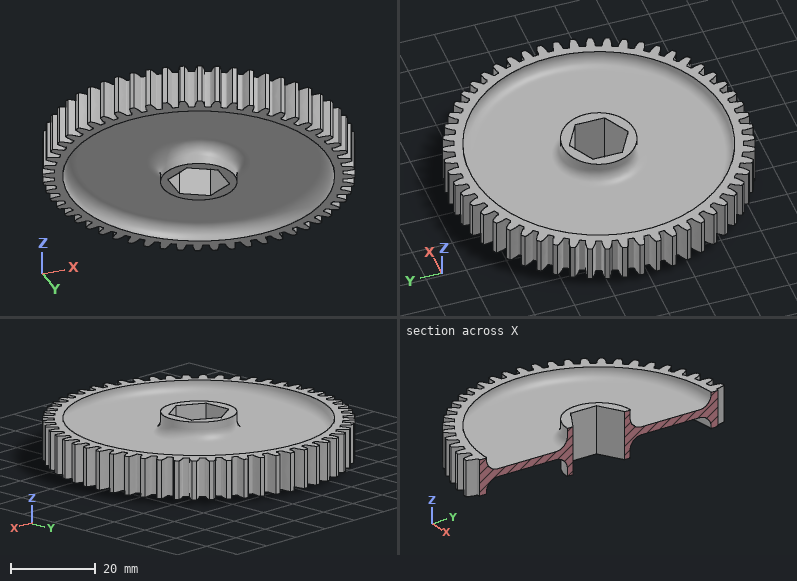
import math

import cadquery as cq

INCH = 25.4

tooth_count = 56
module_size = INCH / 20
pressure_angle = math.radians(14.5)
face_width = 0.375 * INCH
tip_land_width = 1.1
addendum = module_size
dedendum = 1.2 * module_size
root_fillet = 0.3

pitch_radius = tooth_count * module_size / 2
base_radius = pitch_radius * math.cos(pressure_angle)
tip_radius = pitch_radius + addendum
root_radius = pitch_radius - dedendum
tooth_pitch_angle = 2 * math.pi / tooth_count

web_thickness = 2.2
rim_inner_radius = 32.0
hub_radius = 9.0
hub_length = 12.6
web_fillet = INCH / 8
hex_across_flats = 0.5 * INCH
hex_across_corners = hex_across_flats / math.cos(math.pi / 6)

quarter_round_sag = 1 - math.sqrt(0.5)


def polar(radius, angle):
    """Point in the XY plane at a radius and an angle in radians."""
    return (radius * math.cos(angle), radius * math.sin(angle))


def involute(angle):
    """Involute function of a pressure angle."""
    return math.tan(angle) - angle


def half_tooth_angle(radius):
    """Angle from the tooth centre line to its involute flank at a radius."""
    flank_angle = math.acos(base_radius / radius)
    return tooth_pitch_angle / 4 + involute(pressure_angle) - involute(flank_angle)


def half_space_angle(radius):
    """Angle from the centre line of a tooth space to its involute flank at a radius."""
    return tooth_pitch_angle / 2 - half_tooth_angle(radius)


def tooth_space_curve():
    """Radius and angle of points along half a tooth space, from the tip land to the root centre."""
    tip_angle = tooth_pitch_angle / 2 - tip_land_width / (2 * tip_radius)
    flank_radii = (pitch_radius, base_radius + root_fillet / 2)
    flank = [(radius, half_space_angle(radius)) for radius in flank_radii]
    base_angle = half_space_angle(base_radius)
    fillet_bend = root_fillet * quarter_round_sag
    fillet_middle = (root_radius + fillet_bend, base_angle - fillet_bend / root_radius)
    fillet_end = (root_radius, base_angle - root_fillet / root_radius)
    return [(tip_radius, tip_angle), *flank, fillet_middle, fillet_end, (root_radius, 0)]


def toothed_blank():
    """Gear disc with tip lands as arcs, each tooth space one smooth curve, and a space on +X."""
    half_curve = tooth_space_curve()
    tip_angle = half_curve[0][1]
    start_side = [(radius, -angle) for radius, angle in half_curve]
    end_side = half_curve[-2::-1]
    outline = cq.Workplane("XY", origin=(0, 0, -face_width / 2)).moveTo(*polar(tip_radius, -tip_angle))
    for tooth in range(tooth_count):
        centre = tooth * tooth_pitch_angle
        space = [polar(radius, centre + angle) for radius, angle in start_side + end_side]
        next_land = polar(tip_radius, centre + tooth_pitch_angle / 2)
        next_space = polar(tip_radius, centre + tooth_pitch_angle - tip_angle)
        outline = outline.spline(space[1:], includeCurrent=True).threePointArc(next_land, next_space)
    return outline.close().extrude(face_width)


def upper_pocket():
    """Ring pocket above the web, rounded where the floor meets the rim and the hub."""
    floor = web_thickness / 2
    top = hub_length / 2
    bend = web_fillet * quarter_round_sag
    profile = (
        cq.Workplane("XZ")
        .moveTo(hub_radius, top)
        .lineTo(hub_radius, floor + web_fillet)
        .threePointArc((hub_radius + bend, floor + bend), (hub_radius + web_fillet, floor))
        .lineTo(rim_inner_radius - web_fillet, floor)
        .threePointArc((rim_inner_radius - bend, floor + bend), (rim_inner_radius, floor + web_fillet))
        .lineTo(rim_inner_radius, top)
        .close()
    )
    return profile.revolve(360, (0, 0, 0), (0, 1, 0))


def hub():
    """Plain cylinder standing out beyond both faces of the toothed rim."""
    return cq.Workplane("XY").circle(hub_radius).extrude(hub_length / 2, both=True)


def hex_bore():
    """Hexagonal through bore with two corners on the Y axis."""
    bore = cq.Workplane("XY").polygon(6, hex_across_corners).extrude(hub_length, both=True)
    return bore.rotate((0, 0, 0), (0, 0, 1), 90)


pocket = upper_pocket()
gear = toothed_blank().cut(pocket).cut(pocket.mirror("XY"))
result = gear.union(hub()).cut(hex_bore())